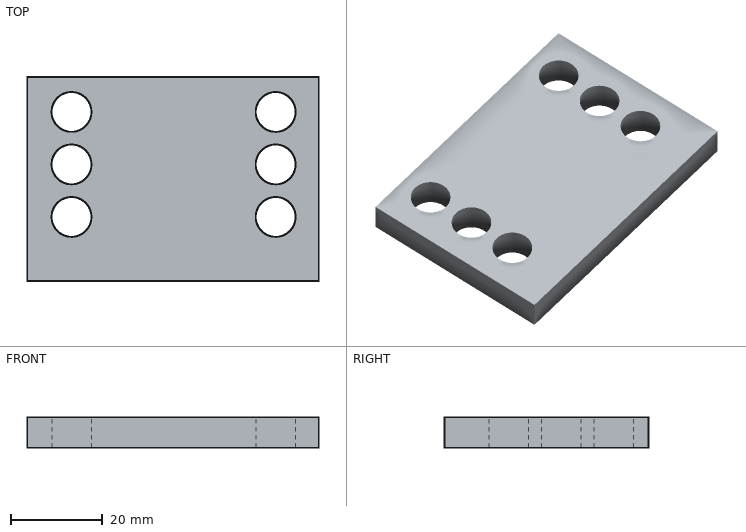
import cadquery as cq

length = 63.5
width = 44.45
thickness = 6.7

hole_diameter = 8.65
hole_pitch = 11.4
holes_per_column = 3
left_column_x = -22.1
column_spacing = 44.45
back_edge_to_first_hole = 7.6

first_hole_y = width / 2 - back_edge_to_first_hole
hole_centers = [
    (column_x, first_hole_y - row * hole_pitch)
    for column_x in (left_column_x, left_column_x + column_spacing)
    for row in range(holes_per_column)
]

plate = cq.Workplane("XY").box(length, width, thickness)
result = plate.faces(">Z").workplane().pushPoints(hole_centers).hole(hole_diameter)